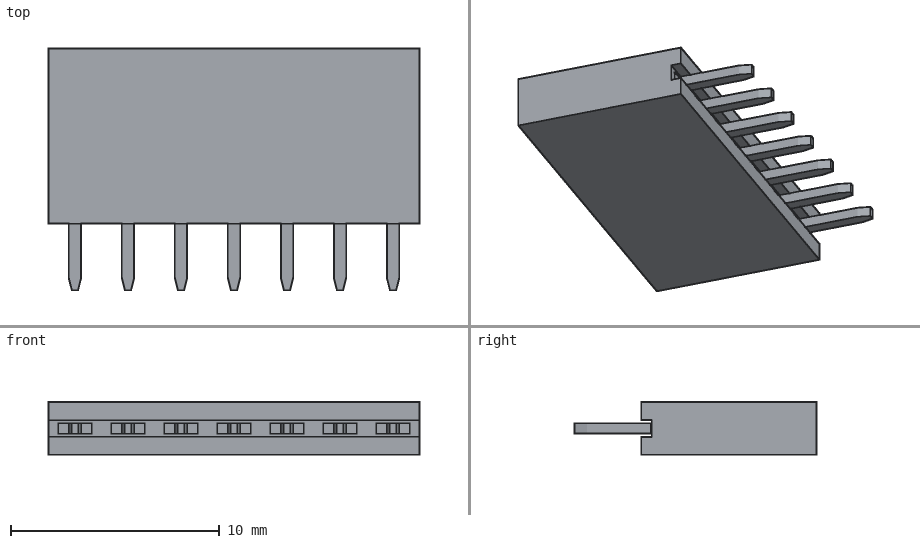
import cadquery as cq

pin_count = 7
pitch = 2.54
overall_length = 11.6

housing_width = pin_count * pitch
housing_length = 8.4
housing_height = 2.54
slot_height = 0.8
slot_depth = 0.5

pin_thickness = 0.5
pin_width = 0.6
tip_width = 0.3
tip_length = 0.6
shoulder_width = 1.6
shoulder_inset = 1.0
shoulder_rise = 0.04
corner_radius = 0.05

shoulder_back = slot_depth + shoulder_inset
shoulder_front = slot_depth - shoulder_rise
root_end = shoulder_front - corner_radius
pin_end = housing_length - overall_length
tip_start = pin_end + tip_length
pin_positions = [(i - (pin_count - 1) / 2) * pitch for i in range(pin_count)]


def make_housing():
    """Block with a slot along its pin face and one shoulder pocket per pin."""
    block = cq.Workplane("XY").box(
        housing_width, housing_length, housing_height, centered=(True, False, True)
    )
    slot = cq.Workplane("XY").box(
        housing_width, slot_depth, slot_height, centered=(True, False, True)
    )
    pockets = (
        cq.Workplane("XY")
        .pushPoints([(x, slot_depth) for x in pin_positions])
        .box(shoulder_width, shoulder_inset, pin_thickness, centered=(True, False, True))
    )
    return block.cut(slot).cut(pockets)


def make_pin(x):
    """Flat pin with a wide shoulder, rounded corners and a tapered tip."""
    half_shoulder = shoulder_width / 2
    half_pin = pin_width / 2
    half_tip = tip_width / 2
    half_outline = (
        cq.Workplane("XY")
        .moveTo(0, shoulder_back)
        .lineTo(half_shoulder, shoulder_back)
        .lineTo(half_shoulder, shoulder_front + corner_radius)
        .radiusArc((half_shoulder - corner_radius, shoulder_front), corner_radius)
        .lineTo(half_pin + corner_radius, shoulder_front)
        .radiusArc((half_pin, root_end), -corner_radius)
        .lineTo(half_pin, tip_start)
        .lineTo(half_tip, pin_end)
        .lineTo(0, pin_end)
    )
    profile = half_outline.mirrorY()
    return profile.extrude(pin_thickness / 2, both=True).translate((x, 0, 0))


housing = make_housing()
pins = [make_pin(x) for x in pin_positions]

result = cq.Compound.makeCompound([housing.val(), *[pin.val() for pin in pins]])